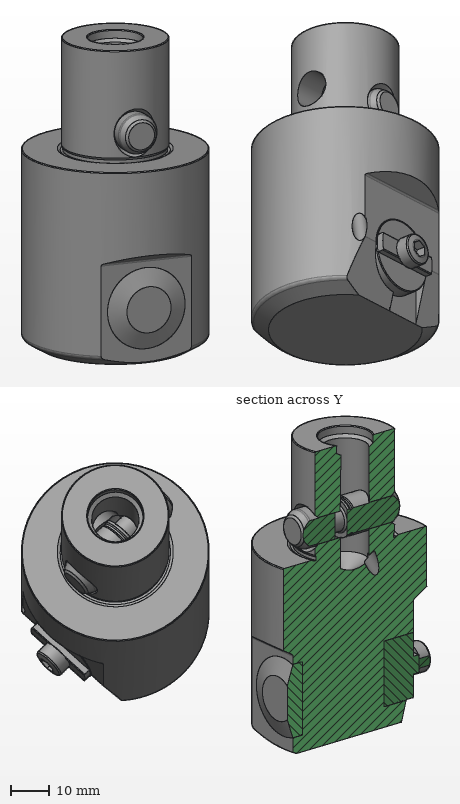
import cadquery as cq
import math

TOTAL_HEIGHT = 83.0
BODY_RADIUS = 24.5
BODY_HEIGHT = 52.95
SHANK_RADIUS = 14.0
EDGE_CHAMFER = 0.25
TOOL_Z = 15.0

NOSE_RADIUS = 20.0
NOSE_ANGLE = 30.0
NOSE_BLEND = 1.25

RELIEF_RADIUS = 13.7
RELIEF_FLOOR_RADIUS = 14.4
RELIEF_OUTER_RADIUS = 15.1
RELIEF_DEPTH = 0.4
RELIEF_HEIGHT = 1.1
RELIEF_WALL_HEIGHT = 0.5

FRONT_FLAT_X = -19.75
FRONT_FLAT_TOP = 33.4
REAR_FLAT_X = 20.9
REAR_FLAT_TOP = 28.05
FLAT_RUNOUT_ANGLE = 30.0
FLAT_BLEND = 0.7
FRONT_TAPER_ANGLE = 15.0
NOTCH_LEFT_Y = 0.3

BORE_RADIUS = 6.15
BORE_BOTTOM = 48.1
DRILL_POINT_ANGLE = 118.0
COUNTERBORE_RADIUS = 7.2
COUNTERBORE_DEPTH = 2.3
COUNTERBORE_CONE = 0.75

PIN_Z = 60.6
PIN_RADIUS = 5.4
PIN_LEFT_X = -15.35
PIN_RIGHT_X = 17.8
PIN_FACE_RADIUS = 3.65
PIN_TIP_RADIUS = 4.3
PIN_TIP_LENGTH = 0.6
PIN_CONE_LENGTH = 1.8
PIN_CONE_BLEND = 1.0
PIN_GROOVE_WIDTH = 0.6
PIN_GROOVE_DEPTH = 0.2
PIN_GROOVE_CHAMFER = 0.4
PIN_COLLAR_END = 2.65
PIN_NECK_RADIUS = 3.6
PIN_NECK_BLEND = 0.5
PIN_NECK_END = 6.6
PIN_MOUTH_RADIUS = 6.5
PIN_MOUTH_ANGLE = 32.0
PIN_MOUTH_CLEAR = 0.3

SIDE_HOLE_Z = 65.3
SIDE_HOLE_RADIUS = 4.9

COOLANT_Y = 15.6
COOLANT_Z = 17.7
COOLANT_RADIUS = 2.0
COOLANT_ANGLE = 30.0

CARRIER_RADIUS = 10.0
CARRIER_DEPTH = 10.0
BAR_WIDTH = 5.15
BAR_HEIGHT = 1.9
BAR_CHAMFER = 0.25

HEAD_RADIUS = 4.2
HEAD_HEIGHT = 4.15
HEAD_FACE_RADIUS = 2.5
HEAD_DOME_RADIUS = 4.0
HEAD_DOME_HEIGHT = 0.4
HEAD_EDGE_HEIGHT = 0.4
SCREW_RADIUS = 2.0
SCREW_LENGTH = 8.3
SOCKET_FLATS = 4.0
SOCKET_DEPTH = 2.5
SOCKET_TURN = 30.0

DIAL_RADIUS = 10.95
DIAL_FACE_RADIUS = 6.2
DIAL_FACE_X = 22.75
DIAL_SEAT_DEPTH = 3.3

CLEAR = 4.15
PICK_MARGIN = 0.1


def tan_deg(angle):
    return math.tan(math.radians(angle))


BAR_FACE_X = FRONT_FLAT_X - BAR_HEIGHT
FRONT_FOOT_X = FRONT_FLAT_X + TOOL_Z * tan_deg(FRONT_TAPER_ANGLE)
OUTSIDE = BODY_RADIUS + CLEAR


def cross_cylinder(radius, x_start, x_end, z):
    """Cylinder along X at height z."""
    return cq.Workplane("YZ", origin=(x_start, 0, z)).circle(radius).extrude(x_end - x_start)


def turned_along_x(points, z):
    """Turn (x, radius) points about the X axis at height z."""
    profile = cq.Workplane("XZ", origin=(0, 0, z)).polyline(points).close()
    return profile.revolve(360, (0, 0), (1, 0))


def turned_along_z(points):
    """Turn (radius, z) points about the Z axis."""
    return cq.Workplane("XZ").polyline(points).close().revolve(360, (0, 0), (0, 1))


def cut_across(points):
    """Prism of (x, z) points running right through the body along Y."""
    return cq.Workplane("XZ").polyline(points).close().extrude(OUTSIDE, both=True)


def turned_blank():
    """Body with its coned nose, and the shank above it."""
    nose_height = (BODY_RADIUS - NOSE_RADIUS) * tan_deg(NOSE_ANGLE)
    body = turned_along_z([
        (0, 0),
        (NOSE_RADIUS, 0),
        (BODY_RADIUS, nose_height),
        (BODY_RADIUS, BODY_HEIGHT),
        (0, BODY_HEIGHT),
    ])
    nose_corner = cq.selectors.BoxSelector(
        (-OUTSIDE, -OUTSIDE, nose_height - PICK_MARGIN),
        (OUTSIDE, OUTSIDE, nose_height + PICK_MARGIN),
    )
    body = body.faces(">Z").edges().chamfer(EDGE_CHAMFER)
    body = body.edges("%CIRCLE").edges(nose_corner).fillet(NOSE_BLEND)
    shank = cq.Workplane("XY").circle(SHANK_RADIUS).extrude(TOTAL_HEIGHT)
    shank = shank.faces(">Z").edges().chamfer(EDGE_CHAMFER)
    return body.union(shank)


def shoulder_relief():
    """Ring cut into the shank foot and the shoulder around it."""
    relief_top = BODY_HEIGHT + RELIEF_HEIGHT
    relief_floor = BODY_HEIGHT - RELIEF_DEPTH
    return turned_along_z([
        (RELIEF_RADIUS, relief_floor),
        (RELIEF_FLOOR_RADIUS, relief_floor),
        (RELIEF_OUTER_RADIUS, BODY_HEIGHT),
        (RELIEF_OUTER_RADIUS, relief_top),
        (SHANK_RADIUS, relief_top),
        (RELIEF_RADIUS, BODY_HEIGHT + RELIEF_WALL_HEIGHT),
    ])


def blend_runout(flat, x, z):
    """Round the edge at (x, z) where a flat turns into its run-out."""
    return flat.edges(cq.selectors.NearestToPointSelector((x, 0, z))).fillet(FLAT_BLEND)


def front_flat():
    """Flat on the -X side, tapering inwards below the tool axis."""
    runout = (OUTSIDE + FRONT_FLAT_X) * tan_deg(FLAT_RUNOUT_ANGLE)
    flat = cut_across([
        (-OUTSIDE, 0),
        (FRONT_FOOT_X, 0),
        (FRONT_FLAT_X, TOOL_Z),
        (FRONT_FLAT_X, FRONT_FLAT_TOP),
        (-OUTSIDE, FRONT_FLAT_TOP + runout),
    ])
    flat = blend_runout(flat, FRONT_FLAT_X, FRONT_FLAT_TOP)
    notch_width = NOTCH_LEFT_Y + CARRIER_RADIUS
    notch = cq.Workplane("XY").box(OUTSIDE + FRONT_FOOT_X, notch_width, TOOL_Z, centered=False)
    return flat.union(notch.translate((-OUTSIDE, -CARRIER_RADIUS, 0)))


def rear_flat():
    """Flat on the +X side, running out to the lower end."""
    runout = (OUTSIDE - REAR_FLAT_X) * tan_deg(FLAT_RUNOUT_ANGLE)
    flat = cut_across([
        (OUTSIDE, 0),
        (REAR_FLAT_X, 0),
        (REAR_FLAT_X, REAR_FLAT_TOP),
        (OUTSIDE, REAR_FLAT_TOP + runout),
    ])
    return blend_runout(flat, REAR_FLAT_X, REAR_FLAT_TOP)


def shank_bore():
    """Blind bore with a counterbore, a cone below it and a drill point."""
    counterbore_floor = TOTAL_HEIGHT - COUNTERBORE_DEPTH
    return turned_along_z([
        (0, BORE_BOTTOM - BORE_RADIUS / tan_deg(DRILL_POINT_ANGLE / 2)),
        (BORE_RADIUS, BORE_BOTTOM),
        (BORE_RADIUS, counterbore_floor - COUNTERBORE_CONE),
        (COUNTERBORE_RADIUS, counterbore_floor),
        (COUNTERBORE_RADIUS, TOTAL_HEIGHT - EDGE_CHAMFER),
        (COUNTERBORE_RADIUS + EDGE_CHAMFER, TOTAL_HEIGHT),
        (0, TOTAL_HEIGHT),
    ])


def pin_hole():
    """Cross hole for the pin, countersunk at both ends."""
    outer_x = SHANK_RADIUS + PIN_MOUTH_CLEAR
    outer_radius = PIN_MOUTH_RADIUS + PIN_MOUTH_CLEAR * tan_deg(PIN_MOUTH_ANGLE)
    inner_x = SHANK_RADIUS - (PIN_MOUTH_RADIUS - PIN_RADIUS) / tan_deg(PIN_MOUTH_ANGLE)
    return turned_along_x([
        (-outer_x, 0),
        (-outer_x, outer_radius),
        (-inner_x, PIN_RADIUS),
        (inner_x, PIN_RADIUS),
        (outer_x, outer_radius),
        (outer_x, 0),
    ], PIN_Z)


def side_hole():
    """Hole from the +Y side of the shank into the bore."""
    hole = cq.Workplane("XZ", origin=(0, 0, SIDE_HOLE_Z)).circle(SIDE_HOLE_RADIUS)
    return hole.extrude(-(SHANK_RADIUS + CLEAR))


def coolant_hole():
    """Hole rising from the side of the body into the lower end of the bore."""
    mouth_x = -math.sqrt(BODY_RADIUS ** 2 - COOLANT_Y ** 2)
    slant = math.sin(math.radians(COOLANT_ANGLE))
    direction = cq.Vector(
        -mouth_x / BODY_RADIUS * slant,
        -COOLANT_Y / BODY_RADIUS * slant,
        math.cos(math.radians(COOLANT_ANGLE)),
    )
    mouth = cq.Vector(mouth_x, COOLANT_Y, COOLANT_Z)
    length_to_bore = (BODY_RADIUS - BORE_RADIUS) / slant
    start = mouth - direction * (2 * CLEAR)
    return cq.Workplane(cq.Solid.makeCylinder(
        COOLANT_RADIUS, length_to_bore + 2 * CLEAR, start, direction
    ))


def make_housing():
    carrier_seat = cross_cylinder(CARRIER_RADIUS, -OUTSIDE, FRONT_FLAT_X + CARRIER_DEPTH, TOOL_Z)
    dial_seat = cross_cylinder(DIAL_RADIUS, REAR_FLAT_X - DIAL_SEAT_DEPTH, OUTSIDE, TOOL_Z)
    housing = turned_blank()
    for cutter in (
        shoulder_relief(),
        front_flat(),
        rear_flat(),
        shank_bore(),
        pin_hole(),
        side_hole(),
        coolant_hole(),
        carrier_seat,
        dial_seat,
    ):
        housing = housing.cut(cutter)
    return housing


def make_carrier():
    """Disc with a chamfered bar across its face and a hole for the clamp screw."""
    disc = cross_cylinder(CARRIER_RADIUS, FRONT_FLAT_X, FRONT_FLAT_X + CARRIER_DEPTH, TOOL_Z)
    disc = disc.faces("<X").edges().chamfer(EDGE_CHAMFER)
    bar = cq.Workplane("YZ", origin=(BAR_FACE_X, 0, TOOL_Z)).rect(2 * OUTSIDE, BAR_WIDTH)
    bar = bar.extrude(BAR_HEIGHT).faces("<X").edges("|Y").chamfer(BAR_CHAMFER)
    bar_end_radius = CARRIER_RADIUS - EDGE_CHAMFER
    bar = bar.intersect(cross_cylinder(bar_end_radius, BAR_FACE_X, FRONT_FLAT_X, TOOL_Z))
    screw_hole = cross_cylinder(SCREW_RADIUS, BAR_FACE_X, BAR_FACE_X + SCREW_LENGTH, TOOL_Z)
    return disc.union(bar).cut(screw_hole)


def make_clamp_screw():
    """Socket screw whose head rests on the carrier bar."""
    face_x = BAR_FACE_X - HEAD_HEIGHT
    dome_x = face_x + HEAD_DOME_HEIGHT
    screw = turned_along_x([
        (face_x, 0),
        (face_x, HEAD_FACE_RADIUS),
        (dome_x, HEAD_DOME_RADIUS),
        (dome_x + HEAD_EDGE_HEIGHT, HEAD_RADIUS),
        (BAR_FACE_X, HEAD_RADIUS),
        (BAR_FACE_X, SCREW_RADIUS),
        (BAR_FACE_X + SCREW_LENGTH, SCREW_RADIUS),
        (BAR_FACE_X + SCREW_LENGTH, 0),
    ], TOOL_Z)
    corner_radius = SOCKET_FLATS / math.sqrt(3)
    point_length = corner_radius / tan_deg(DRILL_POINT_ANGLE / 2)
    hexagon = cq.Workplane("YZ", origin=(face_x, 0, TOOL_Z)).transformed(rotate=(0, 0, SOCKET_TURN))
    hexagon = hexagon.polygon(6, 2 * corner_radius).extrude(SOCKET_DEPTH + point_length)
    pointed_bar = turned_along_x([
        (face_x, 0),
        (face_x, HEAD_FACE_RADIUS),
        (face_x + SOCKET_DEPTH, HEAD_FACE_RADIUS),
        (face_x + SOCKET_DEPTH + point_length, 0),
    ], TOOL_Z)
    return screw.cut(hexagon.intersect(pointed_bar))


def make_dial():
    """Disc with a shallow cone that stands out from the rear flat."""
    seat_x = REAR_FLAT_X - DIAL_SEAT_DEPTH
    return turned_along_x([
        (seat_x, 0),
        (seat_x, DIAL_RADIUS),
        (REAR_FLAT_X, DIAL_RADIUS),
        (DIAL_FACE_X, DIAL_FACE_RADIUS),
        (DIAL_FACE_X, 0),
    ], TOOL_Z)


def make_cross_pin():
    """Pin with coned ends, a shallow groove at mid length and a neck beside it."""
    left_tip = PIN_LEFT_X + PIN_TIP_LENGTH
    right_tip = PIN_RIGHT_X - PIN_TIP_LENGTH
    middle = (PIN_LEFT_X + PIN_RIGHT_X) / 2
    groove_floor = PIN_GROOVE_WIDTH / 2
    groove_mouth = groove_floor + PIN_GROOVE_CHAMFER
    groove_radius = PIN_RADIUS - PIN_GROOVE_DEPTH
    pin = turned_along_x([
        (PIN_LEFT_X, 0),
        (PIN_LEFT_X, PIN_FACE_RADIUS),
        (left_tip, PIN_TIP_RADIUS),
        (left_tip + PIN_CONE_LENGTH, PIN_RADIUS),
        (middle - groove_mouth, PIN_RADIUS),
        (middle - groove_floor, groove_radius),
        (middle + groove_floor, groove_radius),
        (middle + groove_mouth, PIN_RADIUS),
        (PIN_COLLAR_END, PIN_RADIUS),
        (PIN_COLLAR_END, PIN_NECK_RADIUS + PIN_NECK_BLEND),
        (PIN_COLLAR_END + PIN_NECK_BLEND, PIN_NECK_RADIUS),
        (PIN_NECK_END, PIN_NECK_RADIUS),
        (PIN_NECK_END, PIN_RADIUS),
        (right_tip - PIN_CONE_LENGTH, PIN_RADIUS),
        (right_tip, PIN_TIP_RADIUS),
        (PIN_RIGHT_X, PIN_FACE_RADIUS),
        (PIN_RIGHT_X, 0),
    ], PIN_Z)
    for cone_foot in (left_tip + PIN_CONE_LENGTH, right_tip - PIN_CONE_LENGTH):
        foot_edge = cq.selectors.BoxSelector(
            (cone_foot - PICK_MARGIN, -PIN_RADIUS, PIN_Z - PIN_RADIUS),
            (cone_foot + PICK_MARGIN, PIN_RADIUS, PIN_Z + PIN_RADIUS),
        )
        pin = pin.edges("%CIRCLE").edges(foot_edge).fillet(PIN_CONE_BLEND)
    return pin


housing = make_housing()
carrier = make_carrier()
clamp_screw = make_clamp_screw()
dial = make_dial()
cross_pin = make_cross_pin()

result = cq.Compound.makeCompound([
    housing.val(),
    carrier.val(),
    clamp_screw.val(),
    dial.val(),
    cross_pin.val(),
])